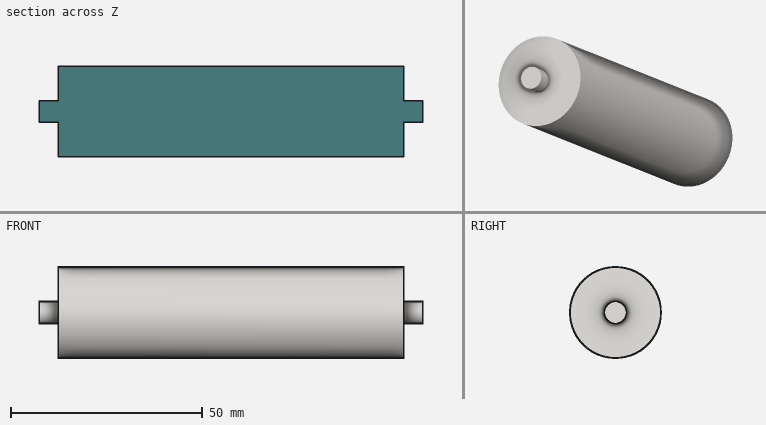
import cadquery as cq

overall_length = 100.44
roller_diameter = 23.88
journal_diameter = 5.84
journal_length = 5.0

roller_length = overall_length - 2 * journal_length


def cylinder_along_x(diameter, length):
    """Solid cylinder on the X axis, centred on the origin."""
    start_face = cq.Workplane("YZ", origin=(-length / 2, 0, 0))
    return start_face.circle(diameter / 2).extrude(length)


roller = cylinder_along_x(roller_diameter, roller_length)

shaft = cylinder_along_x(journal_diameter, overall_length)

result = roller.union(shaft)